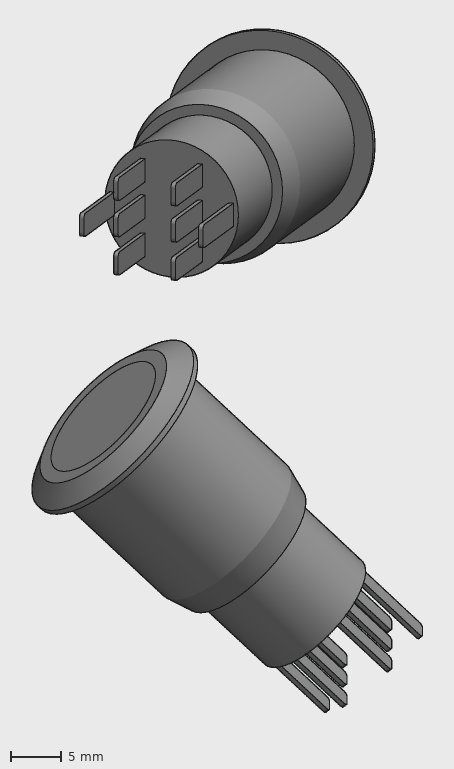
import cadquery as cq

chamfer_depth = 1.4
flange_depth = 2.0
taper_start = 18.0
housing_depth = 21.0
core_depth = 31.0
short_terminal_tip = 39.0
long_terminal_tip = 40.0

flange_diameter = 22.0
front_face_diameter = 17.2
barrel_diameter = 18.0
taper_end_diameter = 16.4
core_diameter = 14.2

terminal_thickness = 0.5
terminal_width = 2.4
terminal_corner_radius = 0.5
inner_column_x = 3.05
outer_column_x = 6.3
upper_row_z = 3.7
middle_row_z = -0.05
lower_row_z = -4.0


def make_housing():
    """Flanged sleeve with a tapered rear end and a bore that fits the core."""
    bore_radius = core_diameter / 2
    profile = [
        (bore_radius, 0),
        (front_face_diameter / 2, 0),
        (flange_diameter / 2, -chamfer_depth),
        (flange_diameter / 2, -flange_depth),
        (barrel_diameter / 2, -flange_depth),
        (barrel_diameter / 2, -taper_start),
        (taper_end_diameter / 2, -housing_depth),
        (bore_radius, -housing_depth),
    ]
    return cq.Workplane("XY").polyline(profile).close().revolve(360, (0, 0, 0), (0, 1, 0))


def make_terminal(x, z, tip_depth):
    """Flat blade from the core's rear face, with its two tip corners rounded."""
    length = tip_depth - core_depth
    return (
        cq.Workplane("XY")
        .box(terminal_thickness, length, terminal_width)
        .edges("|X and <Y")
        .fillet(terminal_corner_radius)
        .translate((x, -core_depth - length / 2, z))
    )


def make_core():
    """Cylindrical core flush with the front face, carrying all the terminals."""
    core = cq.Workplane("XZ").circle(core_diameter / 2).extrude(core_depth)
    for side in (-1, 1):
        for row_z in (upper_row_z, middle_row_z, lower_row_z):
            core = core.union(make_terminal(side * inner_column_x, row_z, short_terminal_tip))
        core = core.union(make_terminal(side * outer_column_x, middle_row_z, long_terminal_tip))
    return core


housing = make_housing()
core = make_core()

result = cq.Compound.makeCompound([housing.val(), core.val()])